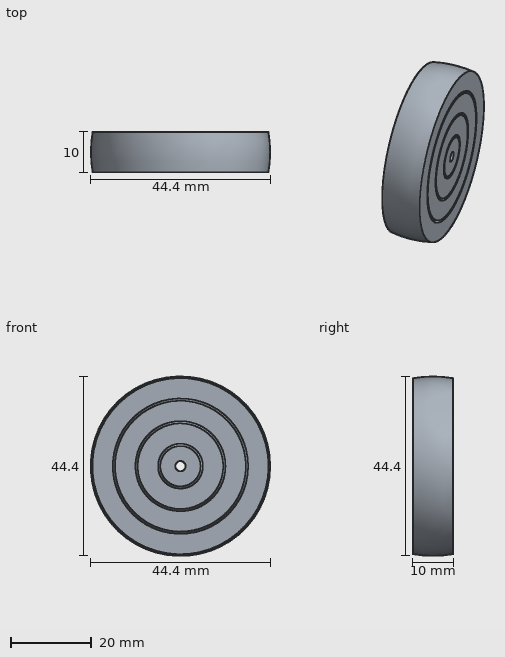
import cadquery as cq
import math

WIDTH = 10.0
HALF_WIDTH = WIDTH / 2
OUTER_CROWN_RADIUS = 22.22
OUTER_EDGE_RADIUS = 21.8
BORE_RADIUS = 2.5 / 2
CORE_EDGE_RADIUS = 5.0
EDGE_PITCH = 5.6
FACE_GAP = 0.6


def sphere_radius(edge_radius):
    """Radius of the centred sphere that meets the flat faces at edge_radius."""
    return math.hypot(edge_radius, HALF_WIDTH)


def revolve_about_y(profile):
    """Turn a closed profile in the XY plane into a solid around the Y axis."""
    return profile.close().revolve(360, (0, 0, 0), (0, 1, 0))


def make_core():
    """Truncated ball with a through bore along Y."""
    profile = (
        cq.Workplane("XY")
        .moveTo(BORE_RADIUS, -HALF_WIDTH)
        .lineTo(CORE_EDGE_RADIUS, -HALF_WIDTH)
        .threePointArc((sphere_radius(CORE_EDGE_RADIUS), 0), (CORE_EDGE_RADIUS, HALF_WIDTH))
        .lineTo(BORE_RADIUS, HALF_WIDTH)
    )
    return revolve_about_y(profile)


def make_ring(inner_neighbour_edge, edge_radius, crown_radius):
    """Ring with a crowned outside and a spherical socket around its inner neighbour."""
    socket_edge = inner_neighbour_edge + FACE_GAP
    profile = (
        cq.Workplane("XY")
        .moveTo(socket_edge, -HALF_WIDTH)
        .lineTo(edge_radius, -HALF_WIDTH)
        .threePointArc((crown_radius, 0), (edge_radius, HALF_WIDTH))
        .lineTo(socket_edge, HALF_WIDTH)
        .threePointArc((sphere_radius(socket_edge), 0), (socket_edge, -HALF_WIDTH))
    )
    return revolve_about_y(profile)


core = make_core()

middle_edges = [CORE_EDGE_RADIUS + EDGE_PITCH * step for step in (1, 2)]
neighbour_edges = [CORE_EDGE_RADIUS, *middle_edges]
ring_edges = [*middle_edges, OUTER_EDGE_RADIUS]
ring_crowns = [*map(sphere_radius, middle_edges), OUTER_CROWN_RADIUS]
rings = [
    make_ring(neighbour_edge, edge, crown)
    for neighbour_edge, edge, crown in zip(neighbour_edges, ring_edges, ring_crowns)
]

result = cq.Compound.makeCompound([core.val(), *[ring.val() for ring in rings]])